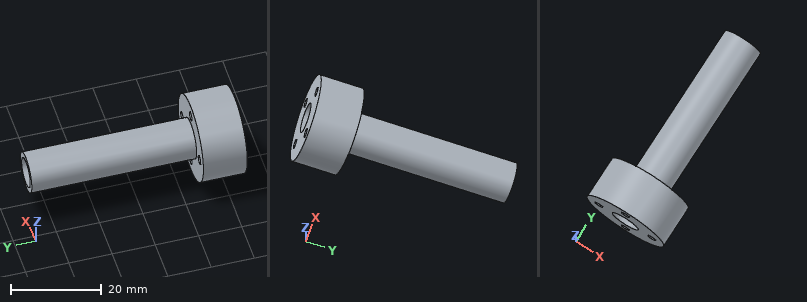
import cadquery as cq

total_length = 48.3
flange_diameter = 20.35
flange_thickness = 10.2
stem_diameter = 9.45
bore_diameter = 6.85

hole_count = 4
hole_diameter = 2.05
hole_circle_radius = 7.0


def cylinder_along_y(diameter, length):
    """Cylinder centred on the Y axis, from Y = 0 to Y = length."""
    return cq.Workplane("XZ").circle(diameter / 2).extrude(-length)


flange = cylinder_along_y(flange_diameter, flange_thickness)
stem = cylinder_along_y(stem_diameter, total_length)
body = flange.union(stem)

bore = cylinder_along_y(bore_diameter, total_length)

mounting_holes = (
    cq.Workplane("XZ")
    .polarArray(hole_circle_radius, 0, 360, hole_count)
    .circle(hole_diameter / 2)
    .extrude(-flange_thickness)
)

result = body.cut(bore).cut(mounting_holes)